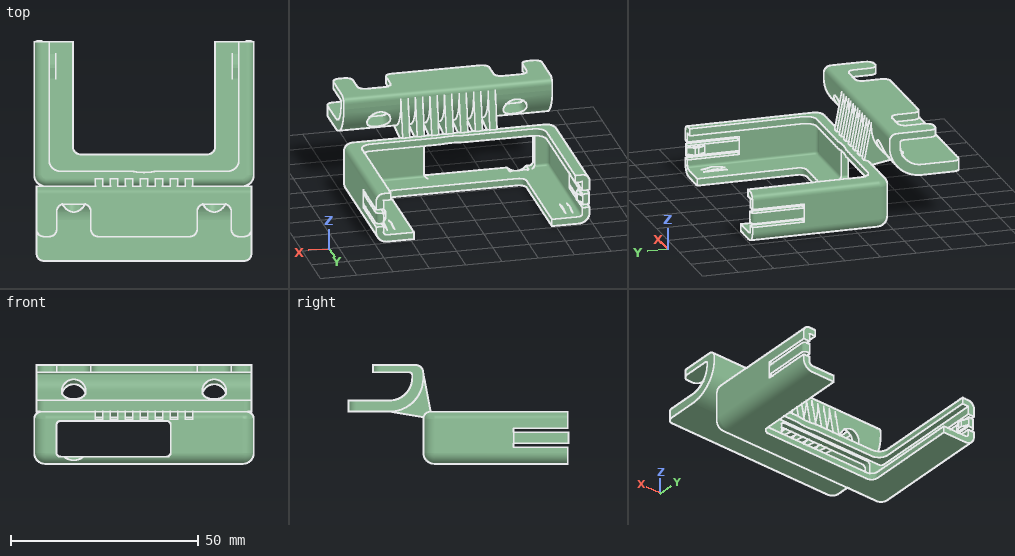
import cadquery as cq
import math

wall = 2.0
gap = wall / 2

frame_width = 58.8
frame_length = 38.7
frame_height = 14.0
edge_radius = 1.5 * wall
top_radius = wall
inner_radius = edge_radius - wall
lip_width = 2 * wall
lip_corner_radius = 1.5 * wall
floor_opening_width = 38.0
floor_front_depth = 8.55
floor_corner_radius = wall

lip_notch_width = 6.4
lip_notch_depth = 0.35

window_width = 30.5
window_height = 9.5
window_left = -23.4
window_corner_radius = wall / 2
plug_recess_radius = 2 * wall
plug_recess_floor = 1.0
plug_recess_depth = 1.5 * wall

tongue_root = 24.15
tongue_tip = 38.85
tongue_height = 1.5 * wall
tongue_slot_height = tongue_height + 2 * gap
tongue_tip_radius = wall / 2

floor_bump_inner_x = 23.55
floor_bump_width = wall
floor_bump_length = 6.65
floor_bump_flat = 1.0
floor_bump_rise = 0.5
floor_bump_y = 32.1

latch_height = wall
latch_length = 2.5 * wall
latch_flat = 1.0
latch_rise = wall / 2
latch_y = tongue_tip - latch_length / 2

clip_width = 57.5
clip_height = 12.5
clip_plate = wall
clip_back = 1.5 * wall
clip_reach = 20
ear_reach = 13.5
clip_radius = 6.0
clip_inner_fillet = 0.7
clip_corner_radius = wall

screw_x = 18.8
screw_diameter = 6.4
screw_tilt = 25
screw_drop = 1.1
ear_slot_width = 9.1
ear_slot_end = 4.75

rib_count = 7
rib_width = wall
rib_pitch = 2 * rib_width
rib_foot = 1.55

inside_width = frame_width - 2 * wall
lip_opening_width = frame_width - 2 * lip_width
clip_bottom = frame_height
clip_top = clip_bottom + clip_height
bend_y = -clip_back - clip_radius
bend_z = clip_bottom + clip_back + clip_radius
mid_z = frame_height / 2


def box(x0, x1, y0, y1, z0, z1):
    return cq.Workplane("XY").box(x1 - x0, y1 - y0, z1 - z0, centered=False).translate((x0, y0, z0))


def centered_box(width, y0, y1, z0, z1):
    return box(-width / 2, width / 2, y0, y1, z0, z1)


def make_frame_shell():
    """U-shaped channel, open at the back, with a lip above and a floor below."""
    shell = centered_box(frame_width, 0, frame_length, 0, frame_height)
    shell = shell.edges("|Z and <Y").fillet(edge_radius)
    shell = shell.faces("<Z").edges("not >Y").fillet(edge_radius)
    shell = shell.faces(">Z").edges("not >Y").fillet(top_radius)

    cavity = centered_box(inside_width, wall, frame_length, wall, frame_height - wall)
    cavity = cavity.edges("|Z and <Y").fillet(inner_radius)
    cavity = cavity.faces("<Z").edges("not >Y").fillet(inner_radius)

    lip_opening = centered_box(lip_opening_width, lip_width, frame_length, mid_z, frame_height)
    lip_opening = lip_opening.edges("|Z and <Y").fillet(lip_corner_radius)

    floor_opening = centered_box(floor_opening_width, floor_front_depth, frame_length, 0, mid_z)
    floor_opening = floor_opening.edges("|Z and <Y").fillet(floor_corner_radius)
    return shell.cut(cavity).cut(lip_opening).cut(floor_opening)


def make_lip_notch():
    """Shallow arc cut into the front lip."""
    return (
        cq.Workplane("XY", origin=(0, lip_width, frame_height - wall))
        .moveTo(-lip_notch_width / 2, 0)
        .threePointArc((0, -lip_notch_depth), (lip_notch_width / 2, 0))
        .close()
        .extrude(wall)
    )


def make_window():
    window = box(window_left, window_left + window_width, 0, edge_radius, wall, wall + window_height)
    return window.edges("|Y").fillet(window_corner_radius)


def make_plug_recess():
    """Round recess in the front face, dipping below the window sill."""
    center_z = plug_recess_floor + plug_recess_radius
    return (
        cq.Workplane("XZ", origin=(-screw_x, 0, center_z))
        .circle(plug_recess_radius)
        .extrude(-plug_recess_depth)
    )


def bump(origin, normal, length, flat, rise, thickness):
    """Trapezoid along Y with its base on the origin, extruded along the normal."""
    plane = cq.Plane(origin=origin, xDir=(0, 1, 0), normal=normal)
    return (
        cq.Workplane(plane)
        .polyline([(-length / 2, 0), (-flat / 2, rise), (flat / 2, rise), (length / 2, 0)])
        .close()
        .extrude(thickness)
    )


def make_floor_bump(side):
    start_x = floor_bump_inner_x if side > 0 else -floor_bump_inner_x - floor_bump_width
    return bump(
        (start_x, floor_bump_y, wall), (1, 0, 0),
        floor_bump_length, floor_bump_flat, floor_bump_rise, floor_bump_width,
    )


def make_frame():
    frame = make_frame_shell().cut(make_lip_notch()).cut(make_window()).cut(make_plug_recess())
    slot_z = mid_z - tongue_slot_height / 2
    slots = centered_box(frame_width, tongue_root, frame_length, slot_z, slot_z + tongue_slot_height)
    frame = frame.cut(slots)
    for side in (-1, 1):
        frame = frame.union(make_floor_bump(side))
    return frame


def make_tongue(side):
    """Springy latch bar that fills the middle of an arm's slot."""
    z0 = mid_z - tongue_height / 2
    tongue = box(-frame_width / 2, -frame_width / 2 + wall, tongue_root, tongue_tip, z0, z0 + tongue_height)
    tongue = tongue.edges("|Z and <X and >Y").fillet(tongue_tip_radius)
    latch = bump(
        (-inside_width / 2, latch_y, mid_z + latch_height / 2), (0, 0, -1),
        latch_length, latch_flat, latch_rise, latch_height,
    )
    tongue = tongue.union(latch)
    return tongue if side < 0 else tongue.mirror("YZ")


def make_clip_hook():
    """Hooked section extruded along X: upper plate, back wall, bend and lower plate."""
    diagonal = math.sqrt(0.5)
    outer = clip_radius + clip_back
    hook = (
        cq.Workplane("YZ", origin=(-clip_width / 2, 0, 0))
        .moveTo(-ear_reach, clip_top)
        .lineTo(0, clip_top)
        .lineTo(0, bend_z)
        .threePointArc((bend_y + outer * diagonal, bend_z - outer * diagonal), (bend_y, clip_bottom))
        .lineTo(-clip_reach, clip_bottom)
        .lineTo(-clip_reach, clip_bottom + clip_back)
        .lineTo(bend_y, clip_bottom + clip_back)
        .threePointArc(
            (bend_y + clip_radius * diagonal, bend_z - clip_radius * diagonal),
            (-clip_back, bend_z),
        )
        .lineTo(-clip_back, clip_top - clip_plate)
        .lineTo(-ear_reach, clip_top - clip_plate)
        .close()
        .extrude(clip_width)
    )
    hook = hook.edges("|X and >Y and >Z").fillet(clip_corner_radius)
    inner_corner = cq.selectors.NearestToPointSelector((0, -clip_back, clip_top - clip_plate))
    return hook.edges(inner_corner).fillet(clip_inner_fillet)


def make_ear_slot(x):
    return box(
        x - ear_slot_width / 2, x + ear_slot_width / 2, -ear_reach, -ear_slot_end, clip_top - clip_plate, clip_top
    )


def make_screw_hole(x):
    tilt = math.radians(screw_tilt)
    direction = (0, math.cos(tilt), -math.sin(tilt))
    plane = cq.Plane(origin=(x, bend_y, bend_z - screw_drop), xDir=(1, 0, 0), normal=direction)
    return cq.Workplane(plane).circle(screw_diameter / 2).extrude(2 * (clip_radius + clip_back))


def make_clip_body():
    clip = make_clip_hook()
    for x in (-screw_x, screw_x):
        clip = clip.cut(make_ear_slot(x))
    plate_region = cq.selectors.BoxSelector(
        (-clip_width, -clip_reach - 0.6, clip_bottom), (clip_width, -ear_slot_end + 0.6, clip_top)
    )
    clip = clip.edges("|Z").edges(plate_region).fillet(clip_corner_radius)
    for x in (-screw_x, screw_x):
        clip = clip.cut(make_screw_hole(x))
    return clip


def make_rib(x):
    """Wedge between the frame's top front edge and the back of the clip's bend."""
    half = math.sqrt(0.5)
    outer = clip_radius + clip_back
    return (
        cq.Workplane("YZ", origin=(x - rib_width / 2, 0, 0))
        .moveTo(0, clip_top - clip_corner_radius)
        .lineTo(top_radius, frame_height)
        .threePointArc(
            (top_radius * (1 - half), frame_height - top_radius * (1 - half)),
            (0, frame_height - top_radius),
        )
        .lineTo(0, frame_height - rib_foot)
        .lineTo(bend_y, clip_bottom)
        .threePointArc((bend_y + outer * half, bend_z - outer * half), (0, bend_z))
        .close()
        .extrude(rib_width)
    )


def make_clip():
    clip = make_clip_body()
    for index in range(rib_count):
        clip = clip.union(make_rib((index - (rib_count - 1) / 2) * rib_pitch))
    return clip


frame = make_frame()
clip = make_clip()
tongues = [make_tongue(side) for side in (-1, 1)]
result = cq.Compound.makeCompound([frame.val(), clip.val(), *[tongue.val() for tongue in tongues]])